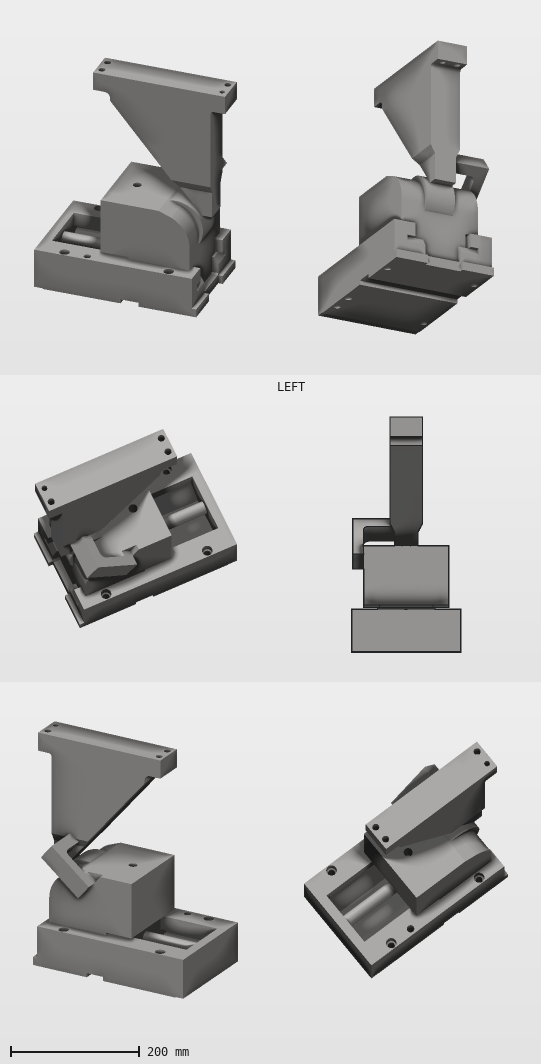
import cadquery as cq
import math

BASE_LENGTH = 262.5
BASE_WIDTH = 170.0
BASE_HEIGHT = 67.0
LIP_LENGTH = 7.5
LIP_HEIGHT = 14.0
LIP_GAP_WIDTH = 60.5
HEEL_LENGTH = 14.5
HEEL_RELIEF = 1.0
KEYWAY_X = 158.5
KEYWAY_WIDTH = 29.5
KEYWAY_DEPTH = 7.0

SLOT_START = 15.5
SLOT_HALF_WIDTH = 48.0
SLOT_FLOOR_HALF_WIDTH = 27.0
SLOT_FLOOR_Z = 15.5
SLOPE_TOP_HALF_WIDTH = 56.0
LEDGE_Z = 33.5
UNDERCUT_HALF_WIDTH = 62.2
UNDERCUT_TOP_Z = 44.5

STOP_START = 251.5
STOP_RAMP_START = 255.0
STOP_RAMP_DROP = 11.7
STOP_GAP_WIDTH = 61.5

SCREW_XS = (47.0, 220.5)
SCREW_Y = 75.5
SCREW_DIAMETER = 11.0
COUNTERBORE_DIAMETER = 16.5
COUNTERBORE_DEPTH = 12.8
DOWEL_X = 85.0
DOWEL_DIAMETER = 11.7

SLIDE_LEFT = 103.5
SLIDE_RIGHT = 251.5
SLIDE_WIDTH = 133.0
SLIDE_TOP = 165.8
SLIDE_BOTTOM = 69.5
RELIEF_RIGHT = 149.7
RELIEF_HEIGHT = 4.5
PAD_LEFT = 124.5
PAD_WIDTH = 82.7
CARRIAGE_LEFT = 116.0
NECK_HALF_WIDTH = 45.0
BEVEL_START_X = 200.0
BEVEL_END_X = 221.0
ROUND_X = 199.5
ROUND_Z = 110.5
SLIDE_HOLE_X = 139.0
SLIDE_HOLE_DIAMETER = 14.0
SLIDE_HOLE_DEPTH = 36.5

KNUCKLE_X = 213.5
KNUCKLE_Z = 120.5
KNUCKLE_RADIUS = 45.5
KNUCKLE_BACK = 22.7
KNUCKLE_FRONT = -26.7

ROD_START = 17.0
ROD_RADIUS = 10.2
ROD_HEAD_RADIUS = 18.3
ROD_HEAD_LENGTH = 36.5
ROD_Z = 48.0

ARM_THICKNESS = 51.2
PLATE_LEFT = 75.5
PLATE_RIGHT = 295.0
PLATE_BOTTOM = 335.3
ARM_TOP = 366.0
WEB_LEFT = 103.5
WEB_RIGHT = 271.0
WEB_SLOPE_TOP = 321.5
WEB_SLOPE_END_X = 254.0
WEB_BOTTOM = 143.5
LEFT_FILLET = 9.0
RIGHT_FILLET = 5.0
TONGUE_THICKNESS = 36.5
TAPER_TOP = 200.5
TAPER_BOTTOM = 186.5
PLATE_HOLE_LEFT_X = 85.0
PLATE_HOLE_RIGHT_X = 285.0
PLATE_HOLE_Y = 12.5
PLATE_HOLE_DIAMETER = 11.0
PLATE_DOWEL_DIAMETER = 8.8

STRAP_X = 170.5
STRAP_Z = 152.5
STRAP_ANGLE = math.radians(39.5)
STRAP_LENGTH = 86.7
STRAP_DEPTH = 30.0
STRAP_BACK = 83.5
HOOK_TIP_Y = 58.0
HOOK_LENGTH = 19.8
CROSSBAR_LENGTH = 18.5
STRAP_INNER_Y = 66.5
STRAP_FILLET = 9.0


def prism(outline, back, front):
    """Extrude a closed XZ outline from y = back to y = front."""
    return outline.close().extrude(back - front).translate((0, back, 0))


def box(x_range, y_range, z_range):
    """Box between the given (low, high) limits on each axis."""
    lows = [low for low, _ in (x_range, y_range, z_range)]
    sizes = [high - low for low, high in (x_range, y_range, z_range)]
    return cq.Workplane("XY").box(*sizes, centered=False).translate(tuple(lows))


def drills(points, diameter, top_z, depth):
    """Vertical cylinders reaching down from top_z, used to cut holes."""
    return cq.Workplane("XY", origin=(0, 0, top_z)).pushPoints(points).circle(diameter / 2).extrude(-depth)


def guide_profile(x, top_half_width, top_z):
    """T-shaped guide section with a sloping floor, in the YZ plane at the given x."""
    half = [
        (SLOT_FLOOR_HALF_WIDTH, SLOT_FLOOR_Z),
        (SLOPE_TOP_HALF_WIDTH, LEDGE_Z),
        (UNDERCUT_HALF_WIDTH, LEDGE_Z),
        (UNDERCUT_HALF_WIDTH, UNDERCUT_TOP_Z),
        (top_half_width, UNDERCUT_TOP_Z),
        (top_half_width, top_z),
    ]
    mirrored = [(-y, z) for y, z in reversed(half)]
    return cq.Workplane("YZ", origin=(x, 0, 0)).polyline(half + mirrored).close()


def make_end_stops():
    """Two ramped stops that close the slot end on both sides of a central gap."""
    outline = (
        cq.Workplane("XZ")
        .moveTo(STOP_START, 0)
        .lineTo(STOP_START, UNDERCUT_TOP_Z)
        .lineTo(STOP_RAMP_START, UNDERCUT_TOP_Z)
        .lineTo(BASE_LENGTH, UNDERCUT_TOP_Z - STOP_RAMP_DROP)
        .lineTo(BASE_LENGTH, 0)
    )
    ramp = prism(outline, UNDERCUT_HALF_WIDTH, -UNDERCUT_HALF_WIDTH)
    slot_end = guide_profile(STOP_START, SLOT_HALF_WIDTH, BASE_HEIGHT).extrude(BASE_LENGTH - STOP_START)
    gap = box((STOP_START, BASE_LENGTH), (-STOP_GAP_WIDTH / 2, STOP_GAP_WIDTH / 2), (0, UNDERCUT_TOP_Z))
    return slot_end.intersect(ramp).cut(gap)


def make_base():
    """Base block with lip, keyway, guide slot and mounting holes."""
    right = BASE_LENGTH + LIP_LENGTH
    y_range = (-BASE_WIDTH / 2, BASE_WIDTH / 2)
    body = box((0, BASE_LENGTH), y_range, (0, BASE_HEIGHT))
    body = body.union(box((BASE_LENGTH, right), y_range, (0, LIP_HEIGHT)))
    body = body.cut(box((BASE_LENGTH, right), (-LIP_GAP_WIDTH / 2, LIP_GAP_WIDTH / 2), (0, LIP_HEIGHT)))
    body = body.cut(box((0, HEEL_LENGTH), y_range, (0, HEEL_RELIEF)))
    keyway = (KEYWAY_X - KEYWAY_WIDTH / 2, KEYWAY_X + KEYWAY_WIDTH / 2)
    body = body.cut(box(keyway, y_range, (0, KEYWAY_DEPTH)))
    body = body.cut(guide_profile(SLOT_START, SLOT_HALF_WIDTH, BASE_HEIGHT).extrude(right - SLOT_START))
    body = body.union(make_end_stops())
    screws = [(x, y) for x in SCREW_XS for y in (-SCREW_Y, SCREW_Y)]
    body = body.cut(drills(screws, SCREW_DIAMETER, BASE_HEIGHT, BASE_HEIGHT))
    body = body.cut(drills(screws, COUNTERBORE_DIAMETER, BASE_HEIGHT, COUNTERBORE_DEPTH))
    return body.cut(drills([(DOWEL_X, -SCREW_Y)], DOWEL_DIAMETER, BASE_HEIGHT, BASE_HEIGHT))


def strap_plane():
    """Plane of the strap's upper face: local x runs up the strap, local y along Y."""
    along = (math.cos(STRAP_ANGLE), 0, math.sin(STRAP_ANGLE))
    normal = (-math.sin(STRAP_ANGLE), 0, math.cos(STRAP_ANGLE))
    return cq.Workplane(cq.Plane(origin=(STRAP_X, 0, STRAP_Z), xDir=along, normal=normal))


def make_rod():
    """Rod lying in the slot, with a larger head seated in the slide."""
    shaft = cq.Workplane("YZ", origin=(ROD_START, 0, ROD_Z)).circle(ROD_RADIUS)
    head = cq.Workplane("YZ", origin=(CARRIAGE_LEFT, 0, ROD_Z)).circle(ROD_HEAD_RADIUS)
    return shaft.extrude(CARRIAGE_LEFT - ROD_START).union(head.extrude(ROD_HEAD_LENGTH))


def make_slide(rod):
    """Slide block with knuckle, guide foot, strap notch and a bore for the rod."""
    round_radius = SLIDE_RIGHT - ROUND_X
    bevel_end_angle = math.acos((BEVEL_END_X - ROUND_X) / round_radius)

    def round_point(angle):
        return (ROUND_X + round_radius * math.cos(angle), ROUND_Z + round_radius * math.sin(angle))

    outline = (
        cq.Workplane("XZ")
        .moveTo(SLIDE_LEFT, SLIDE_BOTTOM)
        .lineTo(SLIDE_LEFT, SLIDE_TOP)
        .lineTo(BEVEL_START_X, SLIDE_TOP)
        .lineTo(*round_point(bevel_end_angle))
        .threePointArc(round_point(bevel_end_angle / 2), round_point(0))
        .lineTo(SLIDE_RIGHT, SLIDE_BOTTOM)
    )
    half_width = SLIDE_WIDTH / 2
    y_range = (-half_width, half_width)
    relief_z = (SLIDE_BOTTOM, SLIDE_BOTTOM + RELIEF_HEIGHT)
    body = prism(outline, half_width, -half_width)
    body = body.cut(box((SLIDE_LEFT, RELIEF_RIGHT), y_range, relief_z))
    body = body.union(box((PAD_LEFT, RELIEF_RIGHT), (-PAD_WIDTH / 2, PAD_WIDTH / 2), relief_z))

    knuckle = cq.Workplane("XZ").center(KNUCKLE_X, KNUCKLE_Z).circle(KNUCKLE_RADIUS)
    body = body.union(knuckle.extrude(KNUCKLE_BACK - KNUCKLE_FRONT).translate((0, KNUCKLE_BACK, 0)))

    carriage = guide_profile(CARRIAGE_LEFT, NECK_HALF_WIDTH, SLIDE_BOTTOM)
    body = body.union(carriage.extrude(SLIDE_RIGHT - CARRIAGE_LEFT))

    body = body.cut(drills([(SLIDE_HOLE_X, 0)], SLIDE_HOLE_DIAMETER, SLIDE_TOP, SLIDE_HOLE_DEPTH))

    notch = (
        strap_plane()
        .workplane(offset=-STRAP_DEPTH)
        .moveTo(0, HOOK_TIP_Y)
        .lineTo(HOOK_LENGTH, HOOK_TIP_Y)
        .lineTo(HOOK_LENGTH, STRAP_BACK)
        .lineTo(0, STRAP_BACK)
        .close()
        .extrude(2 * STRAP_DEPTH)
    )
    return body.cut(notch).cut(rod)


def make_strap():
    """Hooked strap that reaches from the arm down into the slide's notch."""
    crossbar = STRAP_LENGTH - CROSSBAR_LENGTH
    return (
        strap_plane()
        .moveTo(0, STRAP_BACK)
        .lineTo(STRAP_LENGTH, STRAP_BACK)
        .lineTo(STRAP_LENGTH, 0)
        .lineTo(crossbar, 0)
        .lineTo(crossbar, STRAP_INNER_Y - STRAP_FILLET)
        .radiusArc((crossbar - STRAP_FILLET, STRAP_INNER_Y), -STRAP_FILLET)
        .lineTo(HOOK_LENGTH, STRAP_INNER_Y)
        .lineTo(HOOK_LENGTH, HOOK_TIP_Y)
        .lineTo(0, HOOK_TIP_Y)
        .close()
        .extrude(-STRAP_DEPTH)
    )


def make_arm():
    """Arm: top plate, tapering web, thinner tongue and the hooked strap."""
    outline = (
        cq.Workplane("XZ")
        .moveTo(PLATE_LEFT, ARM_TOP)
        .lineTo(PLATE_RIGHT, ARM_TOP)
        .lineTo(PLATE_RIGHT, PLATE_BOTTOM)
        .lineTo(WEB_RIGHT + RIGHT_FILLET, PLATE_BOTTOM)
        .radiusArc((WEB_RIGHT, PLATE_BOTTOM - RIGHT_FILLET), -RIGHT_FILLET)
        .lineTo(WEB_RIGHT, WEB_BOTTOM)
        .lineTo(WEB_SLOPE_END_X, WEB_BOTTOM)
        .lineTo(WEB_LEFT, WEB_SLOPE_TOP)
        .lineTo(WEB_LEFT, PLATE_BOTTOM - LEFT_FILLET)
        .radiusArc((WEB_LEFT - LEFT_FILLET, PLATE_BOTTOM), -LEFT_FILLET)
        .lineTo(PLATE_LEFT, PLATE_BOTTOM)
    )
    half = ARM_THICKNESS / 2
    tongue_half = TONGUE_THICKNESS / 2
    body = prism(outline, half, -half)
    for side in (1, -1):
        relief = (
            cq.Workplane("YZ", origin=(PLATE_LEFT, 0, 0))
            .moveTo(side * half, TAPER_TOP)
            .lineTo(side * tongue_half, TAPER_BOTTOM)
            .lineTo(side * tongue_half, WEB_BOTTOM)
            .lineTo(side * half, WEB_BOTTOM)
            .close()
            .extrude(PLATE_RIGHT - PLATE_LEFT)
        )
        body = body.cut(relief)
    body = body.union(make_strap())

    screws = [
        (PLATE_HOLE_LEFT_X, PLATE_HOLE_Y),
        (PLATE_HOLE_LEFT_X, -PLATE_HOLE_Y),
        (PLATE_HOLE_RIGHT_X, PLATE_HOLE_Y),
    ]
    plate_thickness = ARM_TOP - PLATE_BOTTOM
    body = body.cut(drills(screws, PLATE_HOLE_DIAMETER, ARM_TOP, plate_thickness))
    dowels = [(PLATE_HOLE_RIGHT_X, -PLATE_HOLE_Y)]
    return body.cut(drills(dowels, PLATE_DOWEL_DIAMETER, ARM_TOP, plate_thickness))


base = make_base()
rod = make_rod()
slide = make_slide(rod)
arm = make_arm()

result = cq.Compound.makeCompound([body.solids().val() for body in (base, slide, rod, arm)])